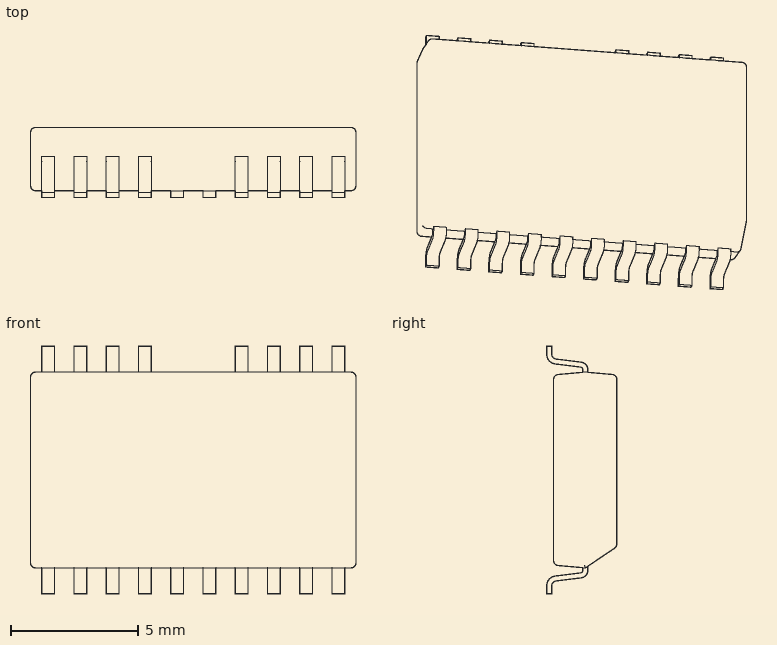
import cadquery as cq
import math

BODY_LENGTH = 12.8
BODY_FRONT = 0.27
BODY_BACK = 2.76
BODY_HALF_HEIGHT = 3.85
PARTING_Y = 1.52
DRAFT_ANGLE = 5.0
BEVEL_ANGLE = 34.0
BODY_FILLET = 0.2

LEAD_WIDTH = 0.51
LEAD_THICKNESS = 0.2
LEAD_PITCH = 1.27
LEADS_PER_ROW = 10
TOP_ROW_GAPS = (4, 5)
LEAD_BACK = 1.63
LEAD_EMBED = 0.38
OVERALL_HEIGHT = 9.74
LEAD_TIP_Z = OVERALL_HEIGHT / 2
FOOT_LENGTH = 0.67
ARM_ANGLE = 7.0
SHOULDER_RADIUS = 0.1
FOOT_RADIUS = 0.19


def slope(angle):
    return math.tan(math.radians(angle))


def make_body():
    front_drop = (PARTING_Y - BODY_FRONT) * slope(DRAFT_ANGLE)
    back_drop = (BODY_BACK - PARTING_Y) * slope(DRAFT_ANGLE)
    bevel_rise = (BODY_BACK - PARTING_Y) * slope(BEVEL_ANGLE)
    outline = [
        (BODY_FRONT, BODY_HALF_HEIGHT - front_drop),
        (PARTING_Y, BODY_HALF_HEIGHT),
        (BODY_BACK, BODY_HALF_HEIGHT - back_drop),
        (BODY_BACK, -BODY_HALF_HEIGHT + bevel_rise),
        (PARTING_Y, -BODY_HALF_HEIGHT),
        (BODY_FRONT, -BODY_HALF_HEIGHT + front_drop),
    ]
    body = cq.Workplane("YZ").polyline(outline).close().extrude(BODY_LENGTH / 2, both=True)
    return body.faces("<X or >X or <Y or >Y").edges().fillet(BODY_FILLET)


def make_top_lead():
    """Lead of the top row, centred on x = 0."""
    front = 0.0
    foot_back = front + LEAD_THICKNESS
    stub_front = LEAD_BACK - LEAD_THICKNESS
    stub_end_z = BODY_HALF_HEIGHT - LEAD_EMBED
    arm_height = LEAD_THICKNESS / math.cos(math.radians(ARM_ANGLE))

    def arm_lower_z(y):
        return LEAD_TIP_Z - FOOT_LENGTH - (y - front) * slope(ARM_ANGLE)

    def arm_upper_z(y):
        return arm_lower_z(y) + arm_height

    foot_outer = (front, arm_lower_z(front))
    foot_inner = (foot_back, arm_upper_z(foot_back))
    shoulder_outer = (LEAD_BACK, arm_upper_z(LEAD_BACK))
    shoulder_inner = (stub_front, arm_lower_z(stub_front))
    outline = [
        (front, LEAD_TIP_Z),
        foot_outer,
        shoulder_inner,
        (stub_front, stub_end_z),
        (LEAD_BACK, stub_end_z),
        shoulder_outer,
        foot_inner,
        (foot_back, LEAD_TIP_Z),
    ]
    lead = cq.Workplane("YZ").polyline(outline).close().extrude(LEAD_WIDTH / 2, both=True)

    bends = [
        (foot_inner, FOOT_RADIUS),
        (foot_outer, FOOT_RADIUS + LEAD_THICKNESS),
        (shoulder_inner, SHOULDER_RADIUS),
        (shoulder_outer, SHOULDER_RADIUS + LEAD_THICKNESS),
    ]
    for (y, z), radius in bends:
        lead = lead.edges(cq.NearestToPointSelector((0, y, z))).fillet(radius)
    return lead


result = make_body()
top_lead = make_top_lead()
bottom_lead = top_lead.mirror("XY")
for position in range(LEADS_PER_ROW):
    x = (position - (LEADS_PER_ROW - 1) / 2) * LEAD_PITCH
    result = result.union(bottom_lead.translate((x, 0, 0)))
    if position not in TOP_ROW_GAPS:
        result = result.union(top_lead.translate((x, 0, 0)))